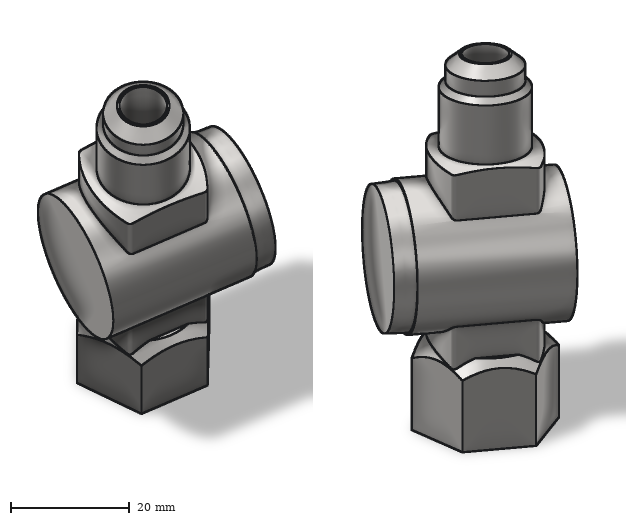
import cadquery as cq
import math


top_z = 36.0
bottom_z = top_z - 68.0

barrel_diameter = 26.5
barrel_front_y = -13.0
barrel_rear_y = 14.55
cap_rear_y = 18.5
cap_base_diameter = 25.8
cap_end_diameter = 25.35

neck_width = 17.95
neck_depth = 19.6
neck_bow_radius = 18.35
neck_corner_radius = 1.0
shoulder_z = 19.05
shoulder_slope_angle = 15.0

spigot_diameter = 15.8
nose_diameter = 13.5
nose_tip_diameter = 8.85
nose_tip_height = 2.05
nose_height = 4.95
spigot_chamfer = (spigot_diameter - nose_diameter) / 2

nut_across_flats = 22.0
nut_corner_radius = nut_across_flats / 2 / math.cos(math.radians(30))
nut_top_z = -15.85
nut_top_radius = 9.7

bore_diameter = 8.0
stem_diameter = 4.0


def revolve_about_z(profile):
    """Revolve a closed (radius, z) outline around the Z axis."""
    return cq.Workplane("XZ").polyline(profile).close().revolve(360, (0, 0), (0, 1))


def cylinder_along_y(diameter, start_y, end_y):
    plane = cq.Workplane("XZ", origin=(0, start_y, 0))
    return plane.circle(diameter / 2).extrude(start_y - end_y)


def make_barrel():
    barrel = cylinder_along_y(barrel_diameter, barrel_front_y, barrel_rear_y)
    cap_profile = [
        (0, barrel_rear_y),
        (cap_base_diameter / 2, barrel_rear_y),
        (cap_end_diameter / 2, cap_rear_y),
        (0, cap_rear_y),
    ]
    cap = cq.Workplane("XY").polyline(cap_profile).close().revolve(360, (0, 0), (0, 1))
    return barrel.union(cap)


def make_neck():
    """Bowed block from the foot of the nut to the shoulder, topped by a shallow cone."""
    half_width = neck_width / 2
    half_depth = neck_depth / 2
    bow_height = neck_bow_radius - math.sqrt(neck_bow_radius**2 - half_width**2)
    corner_y = half_depth - bow_height
    block = (
        cq.Workplane("XY", origin=(0, 0, bottom_z))
        .moveTo(half_width, -corner_y)
        .lineTo(half_width, corner_y)
        .threePointArc((0, half_depth), (-half_width, corner_y))
        .lineTo(-half_width, -corner_y)
        .threePointArc((0, -half_depth), (half_width, -corner_y))
        .close()
        .extrude(shoulder_z - bottom_z)
        .edges("|Z")
        .fillet(neck_corner_radius)
    )
    spigot_radius = spigot_diameter / 2
    envelope_radius = neck_depth
    cone_drop = (envelope_radius - spigot_radius) * math.tan(math.radians(shoulder_slope_angle))
    envelope = revolve_about_z([
        (0, bottom_z),
        (envelope_radius, bottom_z),
        (envelope_radius, shoulder_z - cone_drop),
        (spigot_radius, shoulder_z),
        (0, shoulder_z),
    ])
    return block.intersect(envelope)


def make_spigot():
    step_z = top_z - nose_height
    return revolve_about_z([
        (0, 0),
        (spigot_diameter / 2, 0),
        (spigot_diameter / 2, step_z - spigot_chamfer),
        (nose_diameter / 2, step_z),
        (nose_diameter / 2, top_z - nose_tip_height),
        (nose_tip_diameter / 2, top_z),
        (0, top_z),
    ])


def make_nut():
    hexagon = (
        cq.Workplane("XY", origin=(0, 0, bottom_z))
        .transformed(rotate=(0, 0, 90))
        .polygon(6, 2 * nut_corner_radius)
        .extrude(nut_top_z - bottom_z)
    )
    envelope_radius = nut_across_flats
    envelope = revolve_about_z([
        (0, bottom_z),
        (envelope_radius, bottom_z),
        (envelope_radius, nut_top_z - (envelope_radius - nut_top_radius)),
        (nut_top_radius, nut_top_z),
        (0, nut_top_z),
    ])
    return hexagon.intersect(envelope)


body = make_barrel().union(make_neck()).union(make_spigot()).union(make_nut())

bore = cq.Workplane("XY", origin=(0, 0, bottom_z)).circle(bore_diameter / 2).extrude(top_z - bottom_z)
stem = cylinder_along_y(stem_diameter, barrel_front_y, barrel_rear_y)

result = body.cut(bore).union(stem)